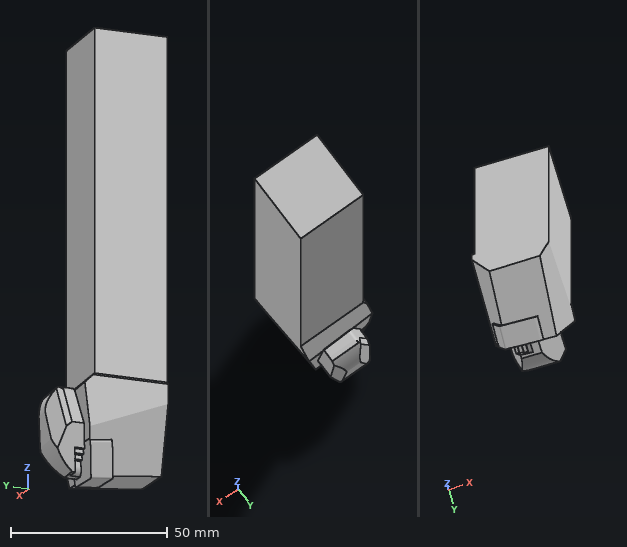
import cadquery as cq
import math

total_height = 151.4
head_width = 25.7
flank_step = 0.9
shank_width = head_width - flank_step
shank_depth = 25.0
head_depth = 30.3
ledge_height = 34.7
cut_size = 302.7

rake_depth = 25.0
rake_x = 0.037
rake_z = 0.12
rake_normal = (-rake_x, 1, -rake_z)

flank_start = 27.1
flank_slope = 0.26
flank_tilt = 0.105

relief_start = 21.2
relief_slope = 0.19
relief_tilt = 0.06

nose_height = 4.1
nose_x = 0.06
nose_y = 0.14

insert_corner_x = 3.6
insert_corner_z = 0.0
insert_circle = 12.7
insert_angle = 100.0
insert_thickness = 7.7
insert_slope = 0.05
cutting_radius = 0.6
insert_radius = 1.2

clamp_top_left = (8.5, 31.8)
clamp_top_right = (20.0, 31.8)
clamp_side_left = (4.1, 18.5)
clamp_side_right = (21.0, 17.4)
clamp_nose_left = (7.5, 2.9)
clamp_nose_right = (14.4, 2.9)
clamp_seat = 22.7
clamp_corner_radius = 2.4
clamp_end_edge = (29.4, 32.1)
clamp_end_top = (34.2, 31.6)
clamp_back_mid = (36.8, 27.8)
clamp_back_peak = 23.5
clamp_front_start = (37.0, 13.3)
clamp_front_mid = (34.4, 7.4)
clamp_front_end = (29.7, 2.5)
clamp_tip = (25.7, 0)
bevel_run_x = 2.9
bevel_run_y = 1.0
bevel_run_z = 8.8
bevels = [((7.9, 32.8, 29.8), 2.2), ((8.6, 34.7, 29.8), 0.8)]
clamp_shoulder = 34.7
clamp_crest = 37.8
crest_left = 9.8
crest_right = 17.0

relief_pocket_depth = 3.3
relief_top = 10.6
relief_step = 1.5
relief_levels = 3
relief_first_x = 7.0
relief_round_start = 5.6
relief_round_radius = 3.0


def cut_outside(body, point, normal):
    """Remove everything on the side of a plane that its normal points to."""
    plane = cq.Plane(origin=point, normal=normal)
    return body.cut(cq.Workplane(plane).rect(cut_size, cut_size).extrude(cut_size))


def rake_y(x, z):
    return rake_depth + rake_x * x + rake_z * z


def cut_rake_face(body):
    return cut_outside(body, (0, rake_depth, 0), rake_normal)


def keep_above_rake(body):
    return cut_outside(body, (0, rake_depth, 0), tuple(-part for part in rake_normal))


def make_shank():
    return cq.Workplane("XY").box(
        shank_width, shank_depth, total_height, centered=False
    ).translate((flank_step, 0, 0))


def make_head():
    head = cq.Workplane("XY").box(head_width, head_depth, ledge_height, centered=False)
    head = cut_outside(head, (flank_step, 0, ledge_height), (-1, 0, 1))
    return cut_outside(head, (0, shank_depth, ledge_height), (0, 1, 1))


def trim_flanks(body):
    body = cut_outside(body, (0, 0, flank_start), (-1, -flank_tilt, -flank_slope))
    body = cut_outside(body, (head_width, 0, relief_start), (1, relief_tilt, -relief_slope))
    return cut_outside(body, (0, 0, nose_height), (nose_x, -nose_y, -1))


def make_clamp():
    outline = (
        cq.Workplane("XZ")
        .polyline([clamp_nose_left, clamp_side_left, clamp_top_left,
                   clamp_top_right, clamp_side_right, clamp_nose_right])
        .close().extrude(-cut_size)
    )
    top_left_corner = cq.selectors.NearestToPointSelector(
        (clamp_top_left[0], cut_size / 2, clamp_top_left[1]))
    outline = outline.edges("|Y").edges(top_left_corner).fillet(clamp_corner_radius)
    crest = (
        cq.Workplane("XY")
        .polyline([(0, clamp_seat), (clamp_side_left[0], clamp_shoulder), (crest_left, clamp_crest),
                   (crest_right, clamp_crest), (clamp_side_right[0], clamp_shoulder),
                   (head_width, clamp_seat)])
        .close().extrude(total_height)
    )
    profile = (
        cq.Workplane("YZ")
        .moveTo(clamp_seat, 0).lineTo(clamp_seat, clamp_end_edge[1])
        .lineTo(*clamp_end_edge).lineTo(*clamp_end_top)
        .threePointArc(clamp_back_mid, (clamp_crest, clamp_back_peak)).lineTo(*clamp_front_start)
        .threePointArc(clamp_front_mid, clamp_front_end).lineTo(*clamp_tip)
        .close().extrude(head_width)
    )
    clamp = outline.intersect(crest).intersect(profile)
    for point, rise in bevels:
        normal = (-bevel_run_z * rise, bevel_run_z, bevel_run_x * rise - bevel_run_y)
        clamp = cut_outside(clamp, point, normal)
    return keep_above_rake(clamp)


def make_insert():
    side = insert_circle / math.sin(math.radians(insert_angle))
    lean_x = side * math.cos(math.radians(insert_angle))
    plane = cq.Plane(
        origin=(insert_corner_x, rake_y(insert_corner_x, insert_corner_z), insert_corner_z),
        xDir=(1, rake_x + rake_z * insert_slope, insert_slope),
        normal=tuple(-part for part in rake_normal),
    )
    blank = (
        cq.Workplane(plane)
        .polyline([(0, 0), (side, 0), (side + lean_x, insert_circle), (lean_x, insert_circle)])
        .close().extrude(insert_thickness)
    )
    along_thickness = cq.selectors.ParallelDirSelector(plane.zDir)
    cutting_edge = cq.selectors.NearestToPointSelector(plane.toWorldCoords((0, 0, insert_thickness / 2)))
    blank = blank.edges(along_thickness).edges(cutting_edge).fillet(cutting_radius)
    far_corners = [(side, 0), (side + lean_x, insert_circle), (lean_x, insert_circle)]
    for x, y in far_corners:
        corner = cq.selectors.NearestToPointSelector(plane.toWorldCoords((x, y, insert_thickness / 2)))
        blank = blank.edges(along_thickness).edges(corner).fillet(insert_radius)
    return blank


def make_chip_relief():
    """Steps under the clamp nose, each deeper in X than the one above, over a rounded nose."""
    outline = cq.Workplane("XZ").lineTo(0, relief_top)
    for level in range(relief_levels):
        wall_x = relief_first_x + level * relief_step
        outline = outline.lineTo(wall_x, relief_top - level * relief_step)
        last_level = level == relief_levels - 1
        wall_end = relief_round_start if last_level else relief_top - (level + 1) * relief_step
        outline = outline.lineTo(wall_x, wall_end)
    round_end = (wall_x + relief_round_radius, relief_round_start - relief_round_radius)
    steps = (
        outline.radiusArc(round_end, -relief_round_radius)
        .lineTo(round_end[0], 0).close().extrude(-cut_size)
    )
    above_rake = (-rake_x * relief_pocket_depth, rake_depth + relief_pocket_depth, 0)
    steps = cut_outside(steps, above_rake, rake_normal)
    return keep_above_rake(steps)


insert = make_insert()
head = cut_rake_face(trim_flanks(make_head()))
clamp = make_clamp().cut(make_chip_relief())
holder = trim_flanks(head.union(make_shank()).union(clamp)).cut(insert)

result = cq.Compound.makeCompound([holder.val(), insert.val()])